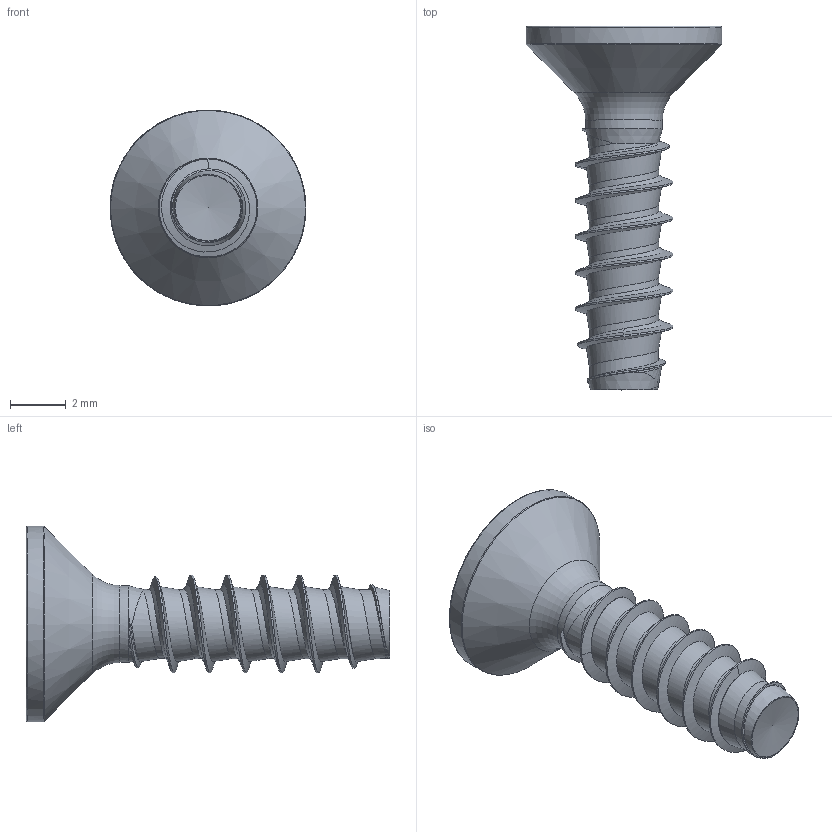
import math

import cadquery as cq


length = 13.0
head_radius = 3.5
rim_height = 0.65
rim_edge_radius = 0.05
cone_half_angle = math.radians(45)

neck_radius = 1.375
neck_fillet = 1.4
neck_end = 3.66

core_radius = 1.235
neck_taper_end = 4.19
tip_radius = 1.2
tip_taper_length = 0.7
tip_taper_radius = 1.36
dish_radius = 1.17
dish_depth = 0.12

pitch = 1.29
full_start_depth = 4.94
full_turns = 4.75
crest_radius = 1.75
run_in_turns = 1.25
run_in_rise = 0.25
run_out_turns = 1.6
run_out_rise = -0.35

buried_radius = 1.0
ridge_section = [
    (-0.425, buried_radius),
    (-0.13, 1.42),
    (-0.03, crest_radius),
    (0.03, crest_radius),
    (0.20, buried_radius),
]
root_radius = 1.345
root_section = [
    (0.0, buried_radius),
    (0.0, root_radius),
    (0.12, root_radius),
    (0.80, core_radius),
    (0.80, buried_radius),
]


def turned(outline):
    """Solid of revolution of a closed (radius, depth) outline about the screw axis."""
    return outline.close().revolve(360, (0, 0, 0), (0, 1, 0))


def turned_body():
    """Head, neck and core."""
    sharp_corner = rim_height + head_radius - neck_radius
    fillet_reach = neck_fillet * math.tan(cone_half_angle / 2)
    neck_start = sharp_corner + fillet_reach
    cone_end_step = fillet_reach * math.cos(cone_half_angle)
    fillet_middle = (
        neck_radius + neck_fillet * (1 - math.cos(cone_half_angle / 2)),
        neck_start - neck_fillet * math.sin(cone_half_angle / 2),
    )
    body = turned(
        cq.Workplane("XZ")
        .lineTo(head_radius, 0)
        .lineTo(head_radius, rim_height)
        .lineTo(neck_radius + cone_end_step, sharp_corner - cone_end_step)
        .threePointArc(fillet_middle, (neck_radius, neck_start))
        .lineTo(neck_radius, neck_end)
        .lineTo(core_radius, neck_taper_end)
        .lineTo(core_radius, length)
        .lineTo(0, length)
    )
    rim_edges = body.edges(cq.selectors.RadiusNthSelector(-1))
    return rim_edges.fillet(rim_edge_radius)


def envelope(start_depth, end_radius):
    """Space from start_depth to the tip, narrowing to end_radius over the tip taper."""
    return turned(
        cq.Workplane("XZ")
        .moveTo(0, start_depth)
        .lineTo(head_radius, start_depth)
        .lineTo(head_radius, length - tip_taper_length)
        .lineTo(end_radius + tip_taper_radius - tip_radius, length - tip_taper_length)
        .lineTo(end_radius, length)
        .lineTo(0, length)
    )


def tip_dish():
    """Shallow cone removed from the tip."""
    return turned(
        cq.Workplane("XZ")
        .moveTo(0, length)
        .lineTo(dish_radius, length)
        .lineTo(0, length - dish_depth)
    )


def helix(radius, start_depth, turns, rise_per_turn):
    """Right-hand helix starting at -X; its radius grows by rise_per_turn."""
    if rise_per_turn:
        slant_pitch = math.hypot(pitch, rise_per_turn)
        cone_angle = math.degrees(math.atan2(rise_per_turn, pitch))
        wire = cq.Wire.makeHelix(slant_pitch, slant_pitch * turns, radius, angle=cone_angle)
    else:
        wire = cq.Wire.makeHelix(pitch, pitch * turns, radius)
    wire = wire.rotate(cq.Vector(), cq.Vector(0, 0, 1), 180)
    return wire.translate(cq.Vector(0, 0, start_depth))


def helical_bar(section, first_turn, turns, rise_per_turn=0.0, rise_at_start=0.0):
    """Solid swept by a section along the thread, beginning at first_turn."""
    start_depth = full_start_depth + first_turn * pitch
    rails = [
        helix(radius + rise_at_start, start_depth + offset, turns, rise_per_turn)
        for offset, radius in section
    ]
    faces = []
    for rail, next_rail in zip(rails, rails[1:] + rails[:1]):
        faces.extend(cq.Face.makeRuledSurface(rail, next_rail).Faces())
    for end in (0, 1):
        corners = [rail.positionAt(end) for rail in rails]
        faces.append(cq.Face.makeFromWires(cq.Wire.makePolygon(corners, close=True)))
    bar = cq.Solid.makeSolid(cq.Shell.makeShell(faces))
    return cq.Workplane(bar.rotate(cq.Vector(), cq.Vector(0, 0, 1), first_turn * 360))


def ridge_bars():
    """Run-in, full-height and run-out stretches of the thread ridge."""
    run_in_sink = -run_in_turns * run_in_rise
    return [
        helical_bar(ridge_section, -run_in_turns, run_in_turns, run_in_rise, run_in_sink),
        helical_bar(ridge_section, 0, full_turns),
        helical_bar(ridge_section, full_turns, run_out_turns, run_out_rise),
    ]


def root_bar():
    """Tapered root beside the ridge, over the whole thread."""
    all_turns = run_in_turns + full_turns + run_out_turns
    return helical_bar(root_section, -run_in_turns, all_turns)


screw = turned_body().intersect(envelope(0, tip_radius))
for ridge in ridge_bars():
    screw = screw.union(ridge.intersect(envelope(neck_end, crest_radius)))
screw = screw.union(root_bar().intersect(envelope(neck_end, tip_radius)))
screw = screw.cut(tip_dish())

screw = screw.rotate((0, 0, 0), (1, 0, 0), 90)
result = cq.Workplane(screw.solids().val())